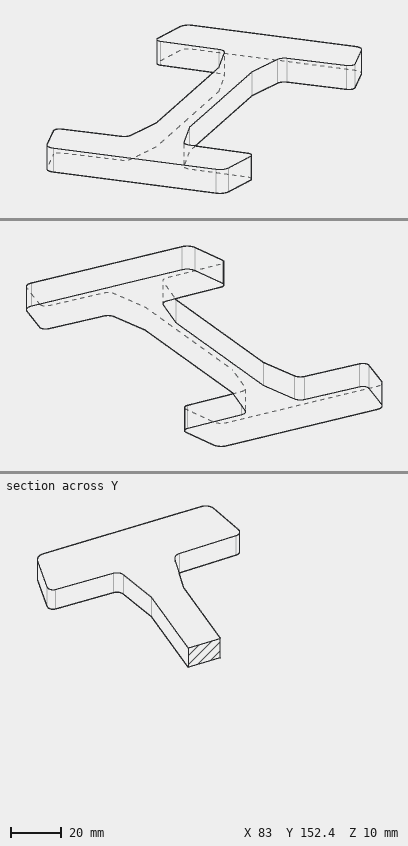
import cadquery as cq
import math

length = 152.4
flange_width = 83.0
thickness = 10.0

web_width = 14.0
web_straight_length = 68.4
flare_angle = math.radians(13.7)

flank_angle = math.radians(11.9)
inner_face_angle = math.radians(1.2)
inner_face_y = 54.3

tip_radius = 4.0
heel_radius = 2.5
root_radius = 3.3

half_length = length / 2
half_width = flange_width / 2
half_web = web_width / 2
half_straight = web_straight_length / 2


def crossing(slope_a, offset_a, slope_b, offset_b):
    """Meeting point of x = slope_a * y + offset_a and y = slope_b * x + offset_b."""
    y = (slope_b * offset_a + offset_b) / (1 - slope_a * slope_b)
    return slope_a * y + offset_a, y


inner_slope = math.tan(inner_face_angle)
inner_offset = inner_face_y - inner_slope * half_width

heel_x = half_width - heel_radius
heel_y = inner_slope * heel_x + inner_offset + heel_radius / math.cos(inner_face_angle)
flank_slope = -math.tan(flank_angle)
flank_offset = heel_x + heel_radius / math.cos(flank_angle) - flank_slope * heel_y

flare_slope = math.tan(flare_angle)
flare_offset = half_web - flare_slope * half_straight

web_corner = (half_web, half_straight)
root_corner = crossing(flare_slope, flare_offset, inner_slope, inner_offset)
heel_corner = crossing(flank_slope, flank_offset, inner_slope, inner_offset)
tip_corner = (flank_slope * half_length + flank_offset, half_length)
quarter = [web_corner, root_corner, heel_corner, tip_corner]


def mirror_x(points):
    return [(-x, y) for x, y in reversed(points)]


def mirror_y(points):
    return [(x, -y) for x, y in reversed(points)]


def make_blank():
    """Plate with the sharp-cornered outline."""
    upper_half = quarter + mirror_x(quarter)
    outline = upper_half + mirror_y(mirror_x(upper_half))
    return cq.Workplane("XY").polyline(outline).close().extrude(thickness)


def round_corner(body, corner, radius):
    """Round the four upright edges that mirror one corner across X and Y."""
    x, y = corner
    for x_side in (1, -1):
        for y_side in (1, -1):
            middle = (x_side * x, y_side * y, thickness / 2)
            body = body.edges(cq.selectors.NearestToPointSelector(middle)).fillet(radius)
    return body


result = make_blank()
result = round_corner(result, tip_corner, tip_radius)
result = round_corner(result, heel_corner, heel_radius)
result = round_corner(result, root_corner, root_radius)